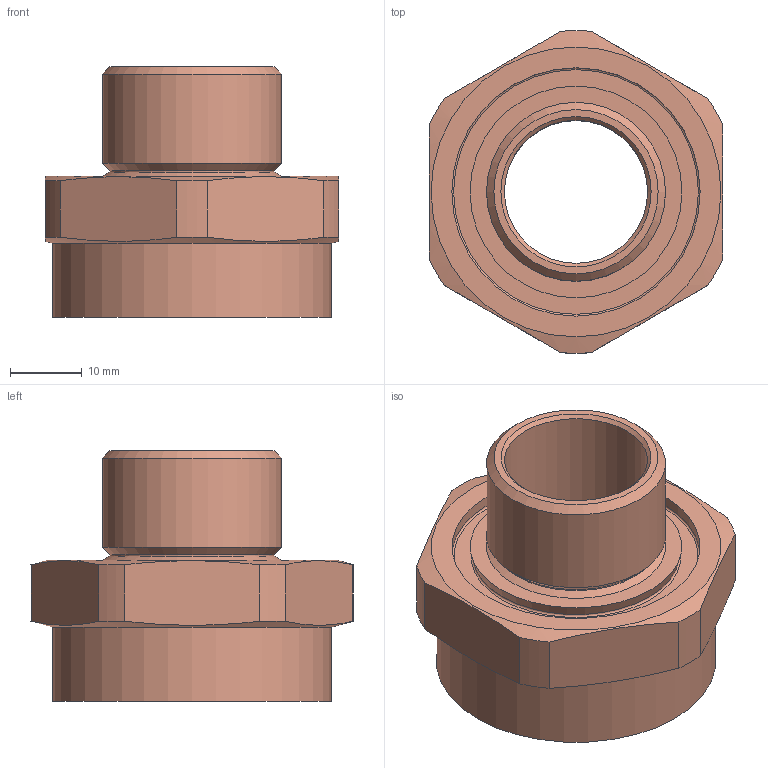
import cadquery as cq
import math

total_height = 35.0
hex_bottom = 10.35
hex_top = 19.7

across_flats = 41.0
corner_diameter = 1.1 * across_flats
corner_bevel_angle = 15.0
hex_top_face_diameter = 40.5

body_diameter = 39.0

spigot_diameter = 25.0
relief_diameter = 22.95
relief_length = 0.2
relief_flare_angle = 30.0

bore_diameter = 20.0
bore_mouth_diameter = 21.0

groove_outer_diameter = 34.7
groove_inner_diameter = 29.6
groove_depth = 1.75
groove_undercut_angle = 15.0
groove_fillet_radius = 0.25


def revolve_profile(points):
    """Revolve (radius, z) points about the Z axis."""
    return cq.Workplane("XZ").polyline(points).close().revolve(360, (0, 0), (0, 1))


def make_hexagon():
    """Hexagon with flats facing +X and -X and its corners bevelled top and bottom."""
    circumscribed_diameter = across_flats / math.cos(math.pi / 6)
    prism = (
        cq.Workplane("XY", origin=(0, 0, hex_bottom))
        .transformed(rotate=(0, 0, 30))
        .polygon(6, circumscribed_diameter)
        .extrude(hex_top - hex_bottom)
    )
    corner_radius = corner_diameter / 2
    top_radius = hex_top_face_diameter / 2
    bottom_radius = body_diameter / 2
    slope = math.tan(math.radians(corner_bevel_angle))
    envelope = revolve_profile([
        (0, hex_bottom),
        (bottom_radius, hex_bottom),
        (corner_radius, hex_bottom + (corner_radius - bottom_radius) * slope),
        (corner_radius, hex_top - (corner_radius - top_radius) * slope),
        (top_radius, hex_top),
        (0, hex_top),
    ])
    return prism.intersect(envelope)


def make_spigot():
    """Spigot with a bevelled tip and a flared relief neck where it meets the hexagon."""
    radius = spigot_diameter / 2
    neck_radius = relief_diameter / 2
    bevel = radius - neck_radius
    neck_bottom = hex_top + bevel * math.tan(math.radians(relief_flare_angle))
    neck_top = neck_bottom + relief_length
    return revolve_profile([
        (0, hex_top),
        (radius, hex_top),
        (neck_radius, neck_bottom),
        (neck_radius, neck_top),
        (radius, neck_top + bevel),
        (radius, total_height - bevel),
        (neck_radius, total_height),
        (0, total_height),
    ])


def make_body():
    return cq.Workplane("XY").circle(body_diameter / 2).extrude(hex_bottom)


def make_groove():
    """Ring-shaped cutter with an undercut inner wall and rounded floor corners."""
    outer_radius = groove_outer_diameter / 2
    inner_radius = groove_inner_diameter / 2
    floor = hex_top - groove_depth
    undercut = groove_depth * math.tan(math.radians(groove_undercut_angle))
    ring = revolve_profile([
        (inner_radius - undercut, floor),
        (outer_radius, floor),
        (outer_radius, hex_top),
        (inner_radius, hex_top),
    ])
    return ring.faces("<Z").edges().fillet(groove_fillet_radius)


def make_bore():
    """Through bore with a bevelled mouth at the spigot tip."""
    radius = bore_diameter / 2
    mouth_radius = bore_mouth_diameter / 2
    return revolve_profile([
        (0, 0),
        (radius, 0),
        (radius, total_height - (mouth_radius - radius)),
        (mouth_radius, total_height),
        (0, total_height),
    ])


outside = make_body().union(make_hexagon()).union(make_spigot())
result = outside.cut(make_groove()).cut(make_bore())